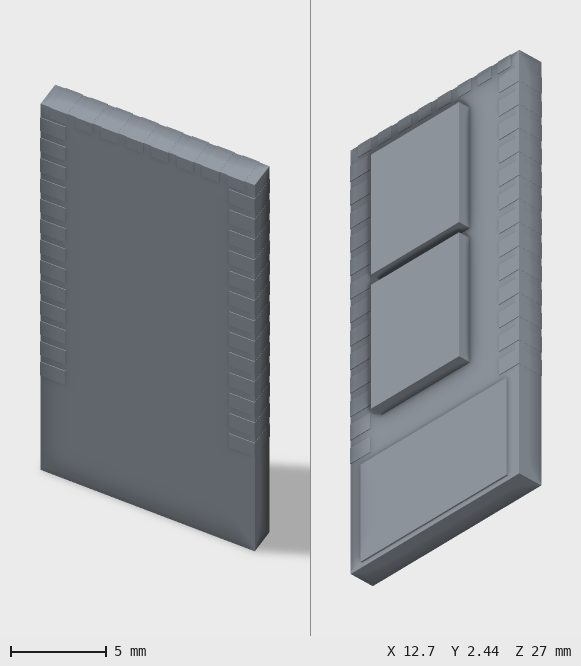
import cadquery as cq

BOARD_WIDTH = 12.7
BOARD_HEIGHT = 27.0
BOARD_THICKNESS = 1.6

FACE_PLATING = 0.04
EDGE_PLATING = 0.01
PAD_WIDTH = 1.0
PAD_PITCH = 1.5
SIDE_PAD_COUNT = 13
SIDE_PAD_LENGTH = 1.5
SIDE_PAD_TOP_GAP = 1.0
TOP_PAD_COUNT = 8
TOP_PAD_LENGTH = 0.75

BLOCK_THICKNESS = 0.8
BLOCK_LEFT_GAP = 3.7
BLOCK_WIDTH = 6.65
UPPER_BLOCK_DROP = 1.85
UPPER_BLOCK_HEIGHT = 7.65
LOWER_BLOCK_DROP = 10.15
LOWER_BLOCK_HEIGHT = 7.9
ANTENNA_WIDTH = 11.0
ANTENNA_DROP = 20.5
ANTENNA_HEIGHT = 6.2
ANTENNA_THICKNESS = 0.1

BOARD_LEFT = -BOARD_WIDTH / 2
BOARD_RIGHT = BOARD_WIDTH / 2
PAD_DEPTH_RANGE = (-FACE_PLATING, BOARD_THICKNESS + FACE_PLATING)
BLOCK_LEFT = BOARD_LEFT + BLOCK_LEFT_GAP
BLOCK_SPAN = (BLOCK_LEFT, BLOCK_LEFT + BLOCK_WIDTH)
ANTENNA_SPAN = (-ANTENNA_WIDTH / 2, ANTENNA_WIDTH / 2)


def box_between(x_range, y_range, z_range):
    """Box spanning the given (low, high) ranges."""
    sizes = [high - low for low, high in (x_range, y_range, z_range)]
    corner = cq.Vector(x_range[0], y_range[0], z_range[0])
    return cq.Workplane(cq.Solid.makeBox(*sizes, corner))


def make_board():
    return box_between((BOARD_LEFT, BOARD_RIGHT), (0, BOARD_THICKNESS), (0, BOARD_HEIGHT))


def add_side_pads(body):
    """Columns of pads down both side edges; each block overlaps the board, leaving its plating proud."""
    left_span = (BOARD_LEFT - EDGE_PLATING, BOARD_LEFT + SIDE_PAD_LENGTH)
    right_span = (BOARD_RIGHT - SIDE_PAD_LENGTH, BOARD_RIGHT + EDGE_PLATING)
    for index in range(SIDE_PAD_COUNT):
        top = BOARD_HEIGHT - SIDE_PAD_TOP_GAP - index * PAD_PITCH
        for span in (left_span, right_span):
            body = body.union(box_between(span, PAD_DEPTH_RANGE, (top - PAD_WIDTH, top)))
    return body


def add_top_pads(body):
    """Row of pads centred along the top edge, wrapped over it."""
    z_range = (BOARD_HEIGHT - TOP_PAD_LENGTH, BOARD_HEIGHT + EDGE_PLATING)
    for index in range(TOP_PAD_COUNT):
        centre = (index - (TOP_PAD_COUNT - 1) / 2) * PAD_PITCH
        x_range = (centre - PAD_WIDTH / 2, centre + PAD_WIDTH / 2)
        body = body.union(box_between(x_range, PAD_DEPTH_RANGE, z_range))
    return body


def add_back_component(body, x_range, drop, height, thickness):
    """Rectangular block standing on the back face."""
    top = BOARD_HEIGHT - drop
    block = box_between(
        x_range,
        (BOARD_THICKNESS, BOARD_THICKNESS + thickness),
        (top - height, top),
    )
    return body.union(block)


result = make_board()
result = add_side_pads(result)
result = add_top_pads(result)
result = add_back_component(result, BLOCK_SPAN, UPPER_BLOCK_DROP, UPPER_BLOCK_HEIGHT, BLOCK_THICKNESS)
result = add_back_component(result, BLOCK_SPAN, LOWER_BLOCK_DROP, LOWER_BLOCK_HEIGHT, BLOCK_THICKNESS)
result = add_back_component(result, ANTENNA_SPAN, ANTENNA_DROP, ANTENNA_HEIGHT, ANTENNA_THICKNESS)